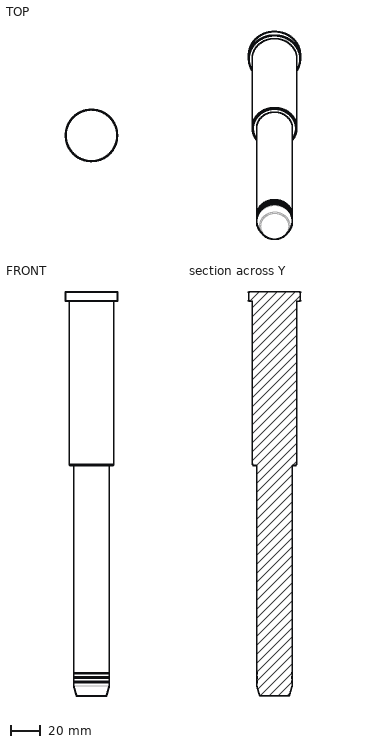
import cadquery as cq

TOTAL_LENGTH = 271.0

HEAD_DIAMETER = 35.0
HEAD_HEIGHT = 6.5
HEAD_CHAMFER = 0.4

BODY_DIAMETER = 30.0
BODY_LENGTH = 110.0
BODY_CHAMFER = 0.8

SHANK_DIAMETER = 24.0
TIP_DIAMETER = 20.0
TIP_LENGTH = 7.0
TIP_ROUND = 0.8

GROOVE_COUNT = 3
GROOVE_WIDTH = 0.8
GROOVE_DEPTH = 0.3
GROOVE_PITCH = 3.0
LOWEST_GROOVE_HEIGHT = 9.5

HEAD_BOTTOM = TOTAL_LENGTH - HEAD_HEIGHT
BODY_BOTTOM = HEAD_BOTTOM - BODY_LENGTH


def cylinder(diameter, bottom, top):
    """Upright cylinder on the Z axis between two heights."""
    return cq.Workplane("XY").workplane(offset=bottom).circle(diameter / 2).extrude(top - bottom)


def make_head():
    """Flange with both rims broken by a small chamfer."""
    return cylinder(HEAD_DIAMETER, HEAD_BOTTOM, TOTAL_LENGTH).edges().chamfer(HEAD_CHAMFER)


def make_body():
    """Thick cylinder with a chamfered lower rim."""
    return cylinder(BODY_DIAMETER, BODY_BOTTOM, HEAD_BOTTOM).faces("<Z").chamfer(BODY_CHAMFER)


def make_tip():
    """Cone narrowing downward, with a rounded end rim."""
    cone = (
        cq.Workplane("XY")
        .circle(TIP_DIAMETER / 2)
        .workplane(offset=TIP_LENGTH)
        .circle(SHANK_DIAMETER / 2)
        .loft(ruled=True)
    )
    return cone.faces("<Z").edges().fillet(TIP_ROUND)


def make_groove(center_height):
    """Ring that cuts one shallow groove around the shank."""
    bottom = center_height - GROOVE_WIDTH / 2
    top = center_height + GROOVE_WIDTH / 2
    core = cylinder(SHANK_DIAMETER - 2 * GROOVE_DEPTH, bottom, top)
    return cylinder(HEAD_DIAMETER, bottom, top).cut(core)


shank = cylinder(SHANK_DIAMETER, TIP_LENGTH, BODY_BOTTOM)
for index in range(GROOVE_COUNT):
    shank = shank.cut(make_groove(LOWEST_GROOVE_HEIGHT + index * GROOVE_PITCH))

result = make_head().union(make_body()).union(shank).union(make_tip())